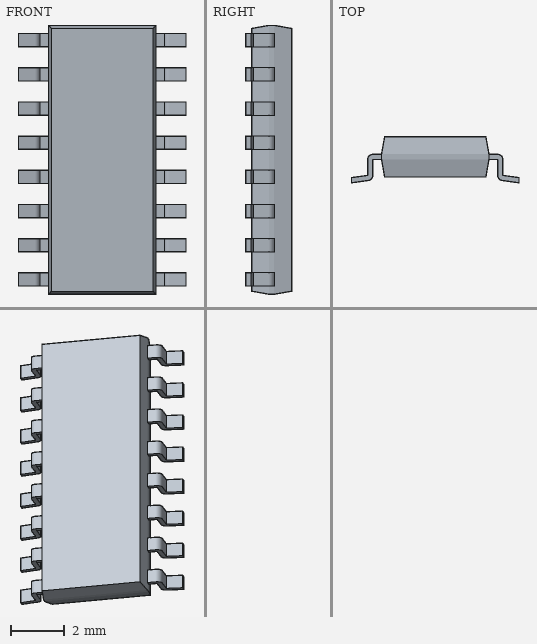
import cadquery as cq
import math

BODY_WIDTH = 4.0
BODY_HEIGHT = 10.0
BODY_DEPTH = 1.5
BELT_DEPTH = 0.2
DRAFT_ANGLE = 10.0
HALF_DEPTH = (BODY_DEPTH - BELT_DEPTH) / 2

LEAD_COUNT = 8
LEAD_PITCH = 1.27
LEAD_WIDTH = 0.5
LEAD_THICKNESS = 0.2
LEAD_SPAN = 6.23
LEG_SPAN = 5.03
FOOT_ANGLE = 8.0
OVERALL_DEPTH = 1.72
LEAD_EMBED = 0.1


def make_body():
    belt = cq.Workplane("XZ").rect(BODY_WIDTH, BODY_HEIGHT).extrude(BELT_DEPTH / 2, both=True)
    front_half = (
        cq.Workplane("XZ", origin=(0, -BELT_DEPTH / 2, 0))
        .rect(BODY_WIDTH, BODY_HEIGHT)
        .extrude(HALF_DEPTH, taper=DRAFT_ANGLE)
    )
    back_half = front_half.mirror("XZ")
    return belt.union(front_half).union(back_half)


def make_lead():
    """Lead on the +X side, centred on Z = 0; both bends have sharp inner corners."""
    slope = math.radians(FOOT_ANGLE)
    root_x = BODY_WIDTH / 2 - LEAD_EMBED
    tip_x = LEAD_SPAN / 2
    leg_outer_x = LEG_SPAN / 2
    leg_inner_x = leg_outer_x - LEAD_THICKNESS
    top_y = LEAD_THICKNESS / 2
    under_y = -LEAD_THICKNESS / 2

    tip_low_y = BODY_DEPTH / 2 - OVERALL_DEPTH
    tip_high_y = tip_low_y + LEAD_THICKNESS / math.cos(slope)
    ankle_y = tip_high_y + (tip_x - leg_outer_x) * math.tan(slope)

    def on_shoulder(angle):
        """Point on the upper bend, centred on the inner corner of the shoulder."""
        return (
            leg_inner_x + LEAD_THICKNESS * math.cos(angle),
            under_y + LEAD_THICKNESS * math.sin(angle),
        )

    def on_ankle(angle):
        """Point on the lower bend, centred on the inner corner of the ankle."""
        return (
            leg_outer_x - LEAD_THICKNESS * math.cos(angle),
            ankle_y - LEAD_THICKNESS * math.sin(angle),
        )

    ankle_sweep = math.pi / 2 - slope
    return (
        cq.Workplane("XY", origin=(0, 0, -LEAD_WIDTH / 2))
        .moveTo(root_x, top_y)
        .lineTo(leg_inner_x, top_y)
        .threePointArc(on_shoulder(math.pi / 4), on_shoulder(0))
        .lineTo(leg_outer_x, ankle_y)
        .lineTo(tip_x, tip_high_y)
        .lineTo(tip_x, tip_low_y)
        .lineTo(*on_ankle(ankle_sweep))
        .threePointArc(on_ankle(ankle_sweep / 2), on_ankle(0))
        .lineTo(leg_inner_x, under_y)
        .lineTo(root_x, under_y)
        .close()
        .extrude(LEAD_WIDTH)
    )


def add_leads(body):
    right_lead = make_lead()
    left_lead = right_lead.mirror("YZ")
    lowest_z = -LEAD_PITCH * (LEAD_COUNT - 1) / 2
    for index in range(LEAD_COUNT):
        offset = (0, 0, lowest_z + index * LEAD_PITCH)
        body = body.union(right_lead.translate(offset))
        body = body.union(left_lead.translate(offset))
    return body


result = add_leads(make_body())